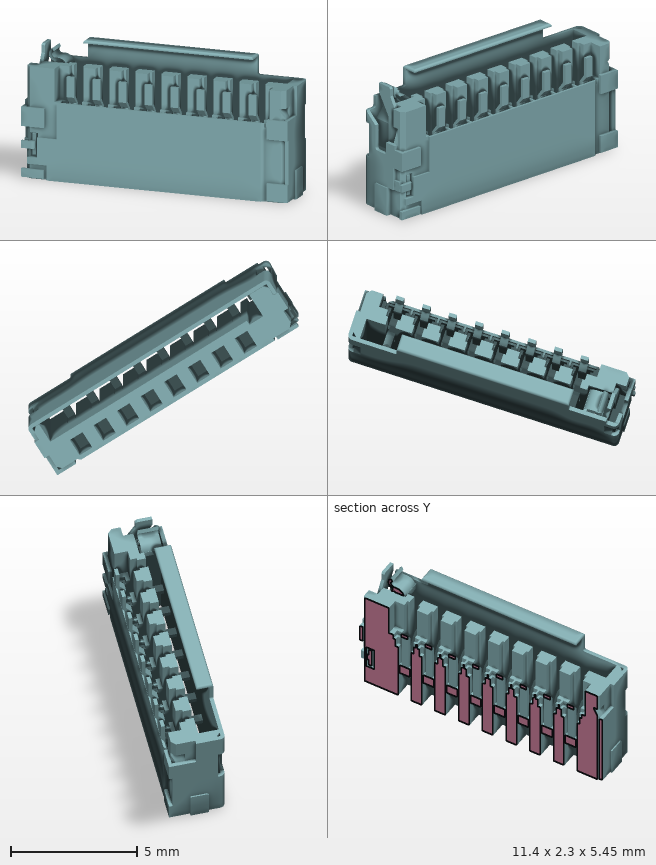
import cadquery as cq
import math


length = 11.4
depth = 2.3
height = 5.45

sheet = 0.16
bump_rise = 0.06
shell_half = length / 2 - bump_rise
shell_bottom = 0.07
shell_top = 4.59
corner_radius = 0.2
shell_front_tab = 0.15

housing_half = shell_half - sheet
housing_front = shell_front_tab
housing_back = depth - sheet
housing_chamfer = 0.17

cover_front = 0.05
cover_top = 3.23

pin_count = 8
pin_row = 7.71
pin_pitch = pin_row / (pin_count - 1)
pin_offset = 0.31
pins_x = [pin_offset + pin_pitch * (i - (pin_count - 1) / 2) for i in range(pin_count)]
pin_width = 0.32

pillar_front = 0.7
cavity_front = 1.31
block_left = -4.26
block_right = 4.83


def box(x0, x1, y0, y1, z0, z1):
    """Box given by its limits along each axis."""
    return cq.Workplane("XY").box(x1 - x0, y1 - y0, z1 - z0, centered=False).translate((x0, y0, z0))


def side_profile(points, x0, x1):
    """Closed (y, z) outline extruded from x0 to x1."""
    return cq.Workplane("YZ").polyline(points).close().extrude(x1 - x0).translate((x0, 0, 0))


def front_profile(points, y0, y1):
    """Closed (x, z) outline extruded from y0 to y1."""
    return cq.Workplane("XZ").polyline(points).close().extrude(y0 - y1).translate((0, y0, 0))


def plan_profile(points, z0, z1):
    """Closed (x, y) outline extruded from z0 to z1."""
    return cq.Workplane("XY").polyline(points).close().extrude(z1 - z0).translate((0, 0, z0))


slot_front = 0.23
slot_front_half = 0.3
slot_back_half = 0.2
blade_left = -5.22
blade_right = -5.07
foot_step_back = 0.55
foot_step_bottom = 1.2
strip_back = 0.25
strip_inner = -5.3
hook_cavity_left = -4.69
hook_cavity_front = 1.12


ledge_top = 0.89
corner_pocket_top = 0.62
cover_step_z = 1.72
cover_step_x = -4.15
foot_pocket_right = -4.97
foot_pocket_top = 1.89
cover_right = 4.48
cover_slope = 0.15


def make_cover():
    """Raised front cover, stepped at its left end and bevelled at its right end."""
    ledge_left = -5.39
    corner_pocket_right = -4.56
    outline = [
        (corner_pocket_right, 0),
        (cover_right + cover_slope, 0),
        (cover_right + cover_slope, cover_top),
        (cover_step_x, cover_top),
        (cover_step_x, cover_step_z),
        (foot_pocket_right, cover_step_z),
        (foot_pocket_right, ledge_top),
        (ledge_left, ledge_top),
        (ledge_left, corner_pocket_top),
        (corner_pocket_right, corner_pocket_top),
    ]
    bevel = plan_profile(
        [
            (cover_right, cover_front),
            (cover_right + cover_slope, cover_front),
            (cover_right + cover_slope, housing_front),
        ],
        0,
        cover_top,
    )
    return front_profile(outline, cover_front, housing_front).cut(bevel)


def cut_latch_recess(body):
    """Open space around the latch blade in the left end, with a sloped floor at the back."""
    recess_right = -5.06
    recess_floor = 2.51
    slope_low = 3.65
    slope_high = 4.18
    slope_left = -5.13
    slope_right = hook_cavity_left
    body = body.cut(box(-length, recess_right, pillar_front, cavity_front, recess_floor, shell_top))
    slope = front_profile(
        [
            (-housing_half, recess_floor),
            (slope_left, recess_floor),
            (slope_left, slope_low),
            (slope_right, slope_high),
            (slope_right, shell_top),
            (-housing_half, shell_top),
        ],
        cavity_front,
        housing_back,
    )
    passage = box(recess_right, slope_right, hook_cavity_front, cavity_front, slope_high, shell_top)
    return body.cut(slope).cut(passage)


def cut_end_ramp(body, side, front, z0, z1):
    """Small ramped notch in an end block; side is -1 for left and 1 for right."""
    ramp_depth = 0.25
    ramp = front_profile(
        [
            (side * housing_half, z0),
            (side * housing_half, z1),
            (side * (housing_half - ramp_depth), z1),
        ],
        front,
        pillar_front,
    )
    return body.cut(ramp)


def cut_contact_slots(body):
    """Slots wide at the front, narrow towards the cavity, with a stepped pocket at the mouth."""
    slot_step = 0.96
    slot_floor = 1.71
    mouth_half = 0.51
    mouth_back = 0.52
    mouth_depth = 0.2
    mouth_floor = cover_top - mouth_depth
    well_half = 0.42
    well_depth = 0.57
    well_back = 0.42
    well_floor = cover_top - well_depth
    for x in pins_x:
        front_slot = box(x - slot_front_half, x + slot_front_half, slot_front, slot_step, 0, shell_top)
        back_slot = box(x - slot_back_half, x + slot_back_half, slot_step, cavity_front, slot_floor, shell_top)
        mouth = box(x - mouth_half, x + mouth_half, housing_front, mouth_back, mouth_floor, cover_top)
        well = box(x - well_half, x + well_half, slot_front, well_back, well_floor, cover_top)
        body = body.cut(front_slot).cut(back_slot).cut(mouth).cut(well)
    return body


def make_housing():
    body = box(-housing_half, housing_half, housing_front, housing_back, 0, shell_top)
    body = body.edges("|Z").chamfer(housing_chamfer)
    body = body.union(make_cover())

    cavity_left = -4.05
    cavity_right = 5.15
    body = body.cut(box(cavity_left, cavity_right, cavity_front, housing_back, 0, shell_top))
    body = body.cut(box(hook_cavity_left, cavity_left, hook_cavity_front, housing_back, 0, shell_top))

    body = body.cut(box(block_left, block_right, 0, pillar_front, cover_top, shell_top))

    body = cut_contact_slots(body)
    body = cut_latch_recess(body)
    body = cut_end_ramp(body, -1, 0.43, 3.12, 3.83)
    body = cut_end_ramp(body, 1, housing_front, 3.4, 3.85)

    step_left = -5.59
    step_top = 1.61
    body = body.union(box(step_left, strip_inner, strip_back, foot_step_back, foot_step_bottom, step_top))

    pocket_left = -5.31
    pocket_back = 0.34
    return body.cut(box(pocket_left, foot_pocket_right, 0, pocket_back, ledge_top, foot_pocket_top))


def make_contact(x):
    """Upright tail at the front, wide web dished into the slot and a beam reaching into the cavity."""
    tail_top = 4.35
    tail_bottom = 3.52
    tail_thick = 0.15
    crank_back = 0.27
    crank_bottom = 3.24
    web_back = 0.93
    web_bottom = 1.25
    web_half = slot_front_half - 0.05
    crank_rise = 0.06
    beam_shoulder = 1.14
    beam_drop = 0.17
    anchor_bottom = 1.48
    dish_start = 0.57
    dish_radius = 0.23
    crank_front = 0.42
    dish_end = dish_start + dish_radius
    dish_floor = 1.71
    dish_top = dish_floor + dish_radius
    beam_top = 2.74
    beam_thick = 0.18
    beam_tip = 1.97

    tail = side_profile(
        [
            (0, tail_top),
            (tail_thick, tail_top),
            (tail_thick, tail_bottom + crank_rise),
            (crank_front, crank_bottom),
            (crank_front, anchor_bottom),
            (crank_back, anchor_bottom),
            (crank_back, crank_bottom),
            (0, tail_bottom),
        ],
        x - pin_width / 2,
        x + pin_width / 2,
    )
    dish = cq.Workplane("YZ").center(dish_start, dish_top).circle(dish_radius).extrude(2 * web_half)
    web = box(x - web_half, x + web_half, slot_front, web_back, web_bottom, dish_top)
    web = web.cut(dish.translate((x - web_half, 0, 0)))
    web = web.cut(box(x - web_half, x + web_half, slot_front, dish_start, dish_floor, dish_top))
    beam = side_profile(
        [
            (dish_end, dish_top),
            (beam_shoulder, beam_top - beam_drop),
            (cavity_front, beam_top),
            (beam_tip, beam_top),
            (beam_tip, beam_top - beam_thick),
            (cavity_front, beam_top - beam_thick),
            (cavity_front, web_bottom),
            (dish_end, web_bottom),
        ],
        x - pin_width / 2,
        x + pin_width / 2,
    )
    return tail.union(web).union(beam)


upper_tab_bottom = 2.15
upper_tab_top = 2.94
right_upper_bottom = 2.6
right_upper_top = 3.4
right_lower_top = 0.79
left_corner_z = 4.1
pad_front = 0.87
pad_back = 1.62
pad_top = 1.2
tongue_left = -3.6
tongue_right = 3.58


def make_wrap():
    """Back plate and both end walls bent from one sheet."""
    outer = box(-shell_half, shell_half, 0, depth, shell_bottom, shell_top)
    outer = outer.edges("|Z and >Y").fillet(corner_radius)
    inner = box(-housing_half, housing_half, -sheet, housing_back, 0, height)
    inner = inner.edges("|Z and >Y").fillet(corner_radius - sheet)
    return outer.cut(inner)


def trim_left_wall(wrap):
    """Opening above the left wall for the latch blade and the notch by its foot."""
    opening_back = 1.62
    opening_front = 0.96
    opening_bottom = 2.6
    shoulder_z = 3.12
    shoulder_front = 0.46
    opening_radius = 0.11
    upper = side_profile(
        [
            (housing_back, left_corner_z),
            (2.09, 4.02),
            (opening_back, 3.65),
            (opening_back, opening_bottom),
            (opening_front, opening_bottom),
            (opening_front, shoulder_z),
            (shoulder_front, shoulder_z),
            (shoulder_front, upper_tab_top),
            (-0.11, upper_tab_top),
            (-0.11, height),
            (depth + 0.11, height),
            (depth + 0.11, left_corner_z),
        ],
        -length,
        -housing_half,
    )
    upper = upper.edges("|X and <Z").fillet(opening_radius)
    lower = box(-length, -housing_half, -0.11, foot_step_back, foot_step_bottom, upper_tab_bottom)
    beside_pad = box(-length, -housing_half, -0.11, pad_front, 0, foot_step_bottom)

    step_x = -5.16
    step_radius = 0.09
    corner_step = box(-length, step_x, housing_back - corner_radius, length, left_corner_z, height)
    corner_step = corner_step.edges("|Y and >X and <Z").fillet(step_radius)
    return wrap.cut(upper).cut(corner_step).cut(lower).cut(beside_pad)


def trim_right_wall(wrap):
    """Front of the right wall lowered to its upper tab and set back between the tabs."""
    tall_wall_front = 1.11
    wall = box(housing_half, length, -0.11, tall_wall_front, right_upper_top, height)
    notch = box(housing_half, length, -0.11, shell_front_tab, right_lower_top, right_upper_bottom)
    return wrap.cut(wall).cut(notch)


def make_pads():
    """Raised pads low on both end walls, with one clipped corner each."""
    pad_clip = 0.07
    pad = side_profile(
        [
            (pad_front, 0),
            (pad_back, 0),
            (pad_back, pad_top - pad_clip),
            (pad_back - pad_clip, pad_top),
            (pad_front, pad_top),
        ],
        0,
        sheet + bump_rise,
    )
    left = pad.translate((-length / 2, 0, 0))
    right = pad.translate((length / 2 - sheet - bump_rise, 0, 0))
    return left.union(right)


def make_front_tabs():
    """Two tabs at each end, folded over the front face."""
    left_upper_inner = -4.65
    left_lower_inner = -4.67
    left_lower_top = 0.41
    right_inner = 4.77

    def tab(x0, x1, z0, z1):
        return box(x0, x1, 0, shell_front_tab, z0, z1)

    left_upper = tab(-shell_half, left_upper_inner, upper_tab_bottom, upper_tab_top)
    left_lower = tab(-shell_half, left_lower_inner, shell_bottom, left_lower_top)
    right_upper = tab(right_inner, shell_half, right_upper_bottom, right_upper_top)
    right_lower = tab(right_inner, shell_half, shell_bottom, right_lower_top)
    return left_upper.union(left_lower).union(right_upper).union(right_lower)


def make_top_flange():
    """Tongue rising from the back plate and bent forward at its top."""
    flange_front = 1.61
    flange_thick = 0.11
    rim_radius = 0.1
    inner_bend = 0.09
    flange = side_profile(
        [
            (depth, shell_top - 0.11),
            (depth, height),
            (flange_front, height),
            (flange_front, height - flange_thick),
            (housing_back, height - flange_thick),
            (housing_back, shell_top - 0.11),
        ],
        tongue_left,
        tongue_right,
    )
    reach = 0.01
    inner_corner = cq.selectors.BoxSelector(
        (tongue_left, housing_back - reach, height - flange_thick - reach),
        (tongue_right, housing_back + reach, height - flange_thick + reach),
    )
    flange = flange.edges(inner_corner).fillet(inner_bend)
    return flange.faces(">Z").edges().fillet(rim_radius)


def add_corner_dents(shell):
    """Window in each back corner, bridged by a strip of the back plate pressed inward."""
    z0 = 2.15
    z1 = 3.6
    ramp = 0.46
    window_front = 2.0
    dent_inner = 5.07
    strip_end = 5.38
    pressed_back = depth - sheet
    strip_points = [
        (depth, z0),
        (pressed_back, z0 + ramp),
        (pressed_back, z1 - ramp),
        (depth, z1),
        (depth - sheet, z1),
        (pressed_back - sheet, z1 - ramp),
        (pressed_back - sheet, z0 + ramp),
        (depth - sheet, z0),
    ]
    strip = side_profile(strip_points, dent_inner, strip_end)
    window = box(dent_inner, length, window_front, depth + 0.11, z0, z1)
    shell = shell.cut(window).union(strip)
    return shell.cut(window.mirror("YZ")).union(strip.mirror("YZ"))


def make_shell():
    wrap = trim_right_wall(trim_left_wall(make_wrap()))
    wrap = add_corner_dents(wrap).union(make_top_flange())
    root_radius = 0.07
    reach = 0.01
    for x in (tongue_left, tongue_right):
        root = cq.selectors.BoxSelector(
            (x - reach, housing_back - reach, shell_top - reach),
            (x + reach, depth + reach, shell_top + reach),
        )
        wrap = wrap.edges(root).edges("|Y").fillet(root_radius)
    return wrap.union(make_pads()).union(make_front_tabs())


def make_blade():
    """Cranked release blade whose foot turns out to the left through the front face."""
    blade_top = 5.28
    blade_bottom = 0.98
    grip_front = 1.21
    grip_back = 1.89
    grip_clip = 0.07
    crank_top = 4.9
    stem_front = 0.8
    foot_front = 0.18
    strip_bottom = 1.25
    strip_top = 1.55
    bend_radius = 0.14
    lever = side_profile(
        [
            (grip_front, blade_top - grip_clip),
            (grip_front + grip_clip, blade_top),
            (grip_back, blade_top),
            (grip_back, crank_top),
            (cavity_front, 4.01),
            (cavity_front, blade_bottom),
            (foot_front, blade_bottom),
            (foot_front, 1.82),
            (stem_front, 2.05),
            (stem_front, 4.22),
            (grip_front, crank_top),
        ],
        blade_left,
        blade_right,
    )
    foot = box(-shell_half, blade_right, 0, strip_back, strip_bottom, strip_top)
    foot = foot.edges("|Z and >X and <Y").fillet(bend_radius)
    relief = box(-shell_half, strip_inner, shell_front_tab, strip_back, strip_bottom, strip_top)
    foot = foot.cut(relief)
    return lever.union(foot)


def make_hook():
    """Curled strip on the left of the cavity, joined to the back plate below its rim."""
    curl_x = -4.64
    curl_z = 4.88
    outer = 0.27
    strip_thick = 0.14
    inner = outer - strip_thick
    hook_front = 1.23
    hook_back = 2.06
    tip_angle = math.radians(120)
    foot_angle = math.radians(255)

    def on_curl(radius, angle):
        return (curl_x + radius * math.cos(angle), curl_z + radius * math.sin(angle))

    arm_top = on_curl(inner, foot_angle)[1]
    right = -4.15
    bend = 0.39
    arm_bottom = 4.18
    root_x = -4.92
    neck_x = -4.63
    neck_z = 4.37
    bridge_top = 4.45
    strip = (
        cq.Workplane("XZ")
        .moveTo(*on_curl(outer, tip_angle))
        .threePointArc((curl_x - outer, curl_z), on_curl(outer, foot_angle))
        .threePointArc((neck_x, neck_z), (root_x, arm_bottom))
        .lineTo(right, arm_bottom)
        .lineTo(right, arm_top - bend)
        .radiusArc((right - bend, arm_top), -bend)
        .lineTo(*on_curl(inner, foot_angle))
        .threePointArc((curl_x - inner, curl_z), on_curl(inner, tip_angle))
        .close()
        .extrude(hook_front - hook_back)
        .translate((0, hook_front, 0))
    )
    bridge = box(right - strip_thick, right, hook_front, housing_back, arm_bottom, bridge_top)
    return strip.union(bridge)


result = make_housing().union(make_shell()).union(make_blade()).union(make_hook())
for pin_x in pins_x:
    result = result.union(make_contact(pin_x))